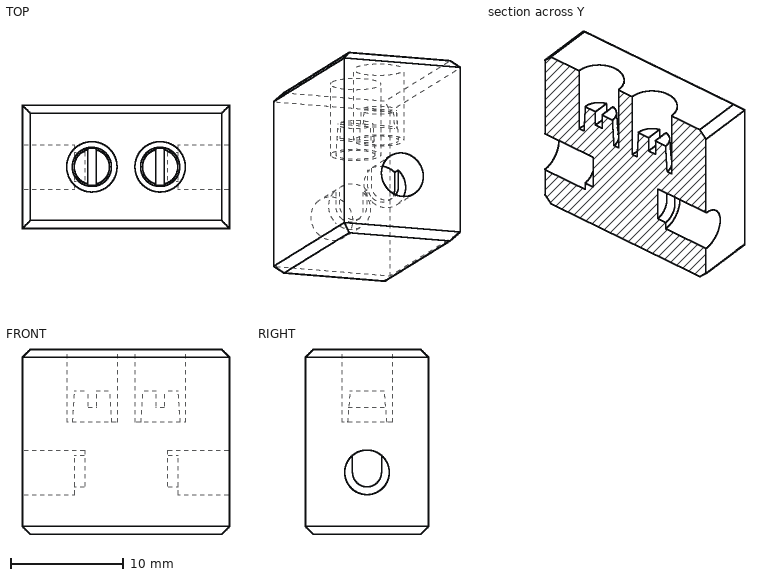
import cadquery as cq

length = 18.5
width = 11.0
height = 16.5
chamfer = 0.72

screw_pitch = 6.09
well_diameter = 4.5
well_depth = 6.48

head_base_diameter = 3.5
head_top_diameter = 3.15
head_height = 2.78
slot_width = 0.74
slot_depth = 1.48

wire_axis_z = -2.72
wire_diameter = 3.98
wire_depth = 4.62
clamp_width = 2.59
clamp_depth = 0.92

well_floor_z = height / 2 - well_depth


def make_body():
    """Block chamfered all round its top and bottom faces."""
    return cq.Workplane("XY").box(length, width, height).faces("|Z").edges().chamfer(chamfer)


def make_well():
    """Round screw well, centred on the Z axis."""
    return (
        cq.Workplane("XY", origin=(0, 0, well_floor_z))
        .circle(well_diameter / 2)
        .extrude(well_depth)
    )


def make_screw_head():
    """Tapered screw head with a straight slot running along Y."""
    head = (
        cq.Workplane("XY", origin=(0, 0, well_floor_z))
        .circle(head_base_diameter / 2)
        .workplane(offset=head_height)
        .circle(head_top_diameter / 2)
        .loft()
    )
    slot = (
        cq.Workplane("XY", origin=(0, 0, well_floor_z + head_height - slot_depth))
        .rect(slot_width, head_base_diameter)
        .extrude(slot_depth)
    )
    return head.cut(slot)


def make_wire_entry():
    """Blind round hole from the -X face, with a U-shaped clamp recess in its floor."""
    hole_plane = cq.Plane(origin=(-length / 2, 0, wire_axis_z), xDir=(0, 1, 0), normal=(1, 0, 0))
    full_depth = wire_depth + clamp_depth
    hole = cq.Workplane(hole_plane).circle(wire_diameter / 2).extrude(wire_depth)
    clamp_round = cq.Workplane(hole_plane).circle(clamp_width / 2).extrude(full_depth)
    clamp_sides = (
        cq.Workplane(hole_plane)
        .rect(clamp_width, wire_diameter / 2, centered=(True, False))
        .extrude(full_depth)
    )
    hole_outline = cq.Workplane(hole_plane).circle(wire_diameter / 2).extrude(full_depth)
    clamp = clamp_round.union(clamp_sides).intersect(hole_outline)
    return hole.union(clamp)


result = make_body()

for screw_x in (-screw_pitch / 2, screw_pitch / 2):
    result = result.cut(make_well().translate((screw_x, 0, 0)))
    result = result.union(make_screw_head().translate((screw_x, 0, 0)))

wire_entry = make_wire_entry()
result = result.cut(wire_entry).cut(wire_entry.mirror("YZ"))